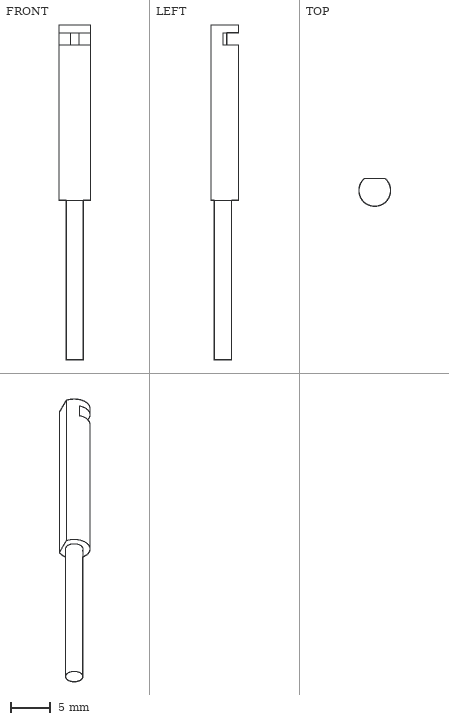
import cadquery as cq

total_length = 42.0
stem_length = 20.0
stem_diameter = 2.2
body_diameter = 4.0
flat_offset = 1.5
head_thickness = 1.0
slot_height = 1.5
neck_diameter = 1.0

body_length = total_length - stem_length
slot_top = total_length - head_thickness
slot_bottom = slot_top - slot_height


def cylinder(diameter, bottom, height):
    """Upright cylinder on the pin axis."""
    return cq.Workplane("XY").workplane(offset=bottom).circle(diameter / 2).extrude(height)


def half_space_block(start_y, direction, bottom, height):
    """Block wider than the body, reaching from start_y toward +Y (direction 1) or -Y (-1)."""
    center_y = start_y + direction * body_diameter / 2
    return (
        cq.Workplane("XY", origin=(0, center_y, bottom))
        .rect(2 * body_diameter, body_diameter)
        .extrude(height)
    )


flat_cutter = half_space_block(flat_offset, 1, stem_length, body_length)
body = cylinder(body_diameter, stem_length, body_length).cut(flat_cutter)

neck = cylinder(neck_diameter, slot_bottom, slot_height)
slot = half_space_block(0, -1, slot_bottom, slot_height).cut(neck)

stem = cylinder(stem_diameter, 0, stem_length)

result = body.cut(slot).union(stem)